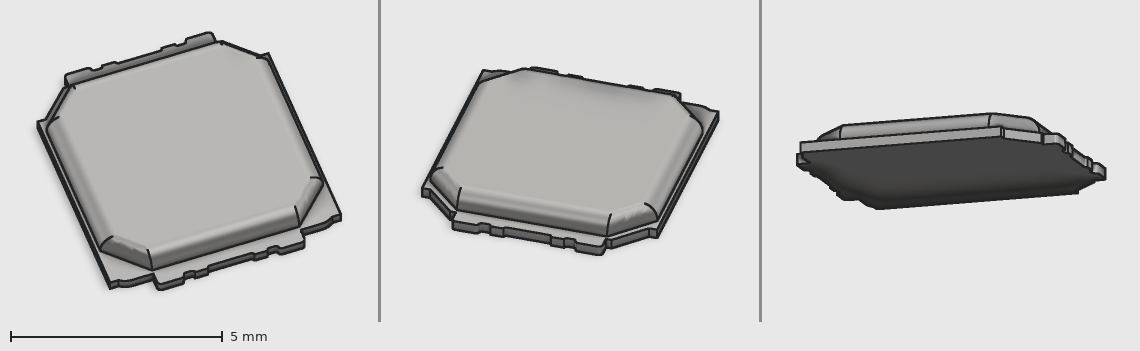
import cadquery as cq
import math

total_length = 6.5
total_width = 5.8
total_height = 0.7
plate_thickness = 0.25

body_half_length = 2.9

bevel_leg = 0.71
bevel_end_y = 1.99
bevel_end_x = body_half_length - bevel_leg
bevel_start_y = bevel_end_y + bevel_leg

shoulder_x = 2.795
shoulder_start_y = 2.685
shoulder_radius = 0.5

tab_half_width = 1.85
tab_corner_radius = 0.105
recess_depth = 0.12
notch_outer_y = 1.12
notch_lip_radius = 0.085
notch_fillet_radius = 0.07
bump_height = 0.065
bump_centre_y = 0.75
bump_width = 0.325

cover_width = 5.595
cover_corner_leg = 0.95
cover_edge_radius = 0.4


def arc_point(centre, radius, angle):
    """Point on a circle at an angle in radians from +X."""
    return (centre[0] + radius * math.cos(angle), centre[1] + radius * math.sin(angle))


def make_plate_body():
    half_width = total_width / 2
    shoulder_angle = math.acos(1 - (body_half_length - shoulder_x) / shoulder_radius)
    shoulder_end_y = shoulder_start_y - shoulder_radius * math.sin(shoulder_angle)
    shoulder_centre = (body_half_length - shoulder_radius, shoulder_end_y)
    shoulder_middle = arc_point(shoulder_centre, shoulder_radius, shoulder_angle / 2)

    upper_half = (
        cq.Workplane("XY")
        .moveTo(-body_half_length, 0)
        .lineTo(-body_half_length, bevel_end_y)
        .lineTo(-bevel_end_x, bevel_start_y)
        .lineTo(-bevel_end_x, half_width)
        .lineTo(shoulder_x, half_width)
        .lineTo(shoulder_x, shoulder_start_y)
        .threePointArc(shoulder_middle, (body_half_length, shoulder_end_y))
        .lineTo(body_half_length, 0)
        .close()
        .extrude(plate_thickness)
    )
    return upper_half.union(upper_half.mirror("XZ"))


def make_tab_quarter():
    """The +X, +Y quarter of the strip that carries both end tabs."""
    end_x = total_length / 2
    floor_x = end_x - recess_depth
    bump_x = floor_x + bump_height
    bump_inner_y = bump_centre_y - bump_width / 2
    bump_outer_y = bump_centre_y + bump_width / 2

    flank_angle = math.acos(1 - bump_height / notch_fillet_radius)
    flank_length = notch_fillet_radius * math.sin(flank_angle)
    fillet_centre_x = floor_x + notch_fillet_radius
    recess_end_y = bump_inner_y - flank_length
    notch_inner_y = bump_outer_y + flank_length
    inner_flank_middle = arc_point(
        (fillet_centre_x, recess_end_y), notch_fillet_radius, math.pi - flank_angle / 2
    )
    outer_flank_middle = arc_point(
        (fillet_centre_x, notch_inner_y), notch_fillet_radius, math.pi + flank_angle / 2
    )

    lip_angle = math.acos(1 - recess_depth / (notch_fillet_radius + notch_lip_radius))
    lip_end_y = notch_outer_y + (notch_fillet_radius + notch_lip_radius) * math.sin(lip_angle)
    fillet_centre = (fillet_centre_x, notch_outer_y)
    lip_centre = (end_x - notch_lip_radius, lip_end_y)
    fillet_middle = arc_point(fillet_centre, notch_fillet_radius, math.pi - lip_angle / 2)
    fillet_end = arc_point(fillet_centre, notch_fillet_radius, math.pi - lip_angle)
    lip_middle = arc_point(lip_centre, notch_lip_radius, -lip_angle / 2)

    corner_centre = (end_x - tab_corner_radius, tab_half_width - tab_corner_radius)
    corner_middle = arc_point(corner_centre, tab_corner_radius, math.pi / 4)

    return (
        cq.Workplane("XY")
        .moveTo(0, 0)
        .lineTo(floor_x, 0)
        .lineTo(floor_x, recess_end_y)
        .threePointArc(inner_flank_middle, (bump_x, bump_inner_y))
        .lineTo(bump_x, bump_outer_y)
        .threePointArc(outer_flank_middle, (floor_x, notch_inner_y))
        .lineTo(floor_x, notch_outer_y)
        .threePointArc(fillet_middle, fillet_end)
        .threePointArc(lip_middle, (end_x, lip_end_y))
        .lineTo(end_x, corner_centre[1])
        .threePointArc(corner_middle, (corner_centre[0], tab_half_width))
        .lineTo(0, tab_half_width)
        .close()
        .extrude(plate_thickness)
    )


def make_plate():
    quarter = make_tab_quarter()
    tab_half = quarter.union(quarter.mirror("XZ"))
    tabs = tab_half.union(tab_half.mirror("YZ"))
    return make_plate_body().union(tabs).clean()


def make_dome_prism(half_width, sweep):
    """Prism with rounded upper edges; its XZ section is swept both ways along a level vector."""
    flat_half_width = half_width - cover_edge_radius
    shoulder_z = total_height - cover_edge_radius
    bend = cover_edge_radius * math.sqrt(0.5)
    section = (
        cq.Workplane("XZ", origin=(-sweep.x, -sweep.y, 0))
        .moveTo(-half_width, plate_thickness)
        .lineTo(half_width, plate_thickness)
        .lineTo(half_width, shoulder_z)
        .threePointArc((flat_half_width + bend, shoulder_z + bend), (flat_half_width, total_height))
        .lineTo(-flat_half_width, total_height)
        .threePointArc((-flat_half_width - bend, shoulder_z + bend), (-half_width, shoulder_z))
        .close()
    )
    return cq.Workplane(cq.Solid.extrudeLinear(section.val(), [], sweep * 2))


def make_cover():
    """Intersection of four prisms, one for each pair of opposite sides of the octagon.

    All four have the same rounding along X, so the diagonal edges are elliptical
    and the seams run straight inward from the corners.
    """
    half_width = cover_width / 2
    diagonal_reach = cover_width - cover_corner_leg
    along_y = make_dome_prism(half_width, cq.Vector(0, cover_width, 0))
    along_x = along_y.rotate((0, 0, 0), (0, 0, 1), 90)
    rising = make_dome_prism(diagonal_reach, cq.Vector(cover_width, cover_width, 0))
    falling = rising.mirror("YZ")
    return along_y.intersect(along_x).intersect(rising).intersect(falling)


plate = make_plate()
cover = make_cover()

result = cq.Compound.makeCompound([plate.val(), cover.val()])